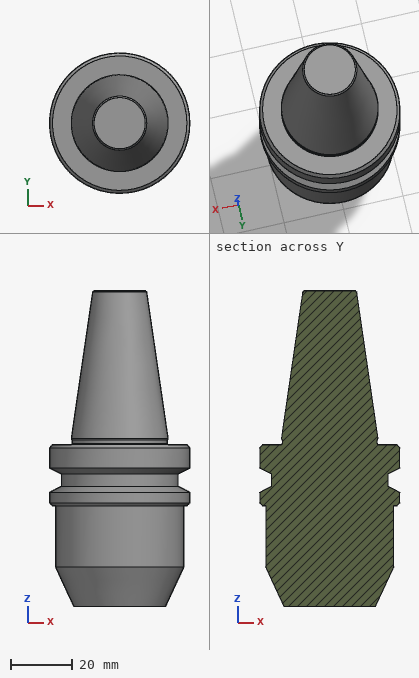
import cadquery as cq
import math


gauge_radius = 31.75 / 2
taper_length = 48.4
taper_ratio = 7 / 24
tip_chamfer_height = 0.4
tip_chamfer_width = 0.5

relief_depth = 0.25
relief_radius = gauge_radius - relief_depth
relief_top_z = -0.5
relief_bottom_z = -1.6

flange_radius = 46 / 2
flange_top_z = -2.0
flange_bottom_z = -22.0
flange_chamfer = 1.0

groove_radius = 38.3 / 2
groove_center_z = -13.6
groove_floor_width = 4.0
groove_flank_angle = 27

body_radius = 42 / 2
nose_cone_top_z = -42.1
nose_end_z = -55.0
nose_end_radius = 30 / 2


def taper_radius(z):
    """Radius of the taper at height z above the gauge plane."""
    return gauge_radius - z * taper_ratio / 2


def shank_points():
    """Outline of the taper and its relief, from the tip down to the flange."""
    chamfer_z = taper_length - tip_chamfer_height
    chamfer_radius = taper_radius(chamfer_z)
    return [
        (chamfer_radius - tip_chamfer_width, taper_length),
        (chamfer_radius, chamfer_z),
        (gauge_radius, 0),
        (relief_radius, relief_top_z),
        (relief_radius, relief_bottom_z),
        (gauge_radius, flange_top_z),
    ]


def flange_points():
    """Outline of the chamfered flange with its V groove, from top to bottom."""
    flank_height = (flange_radius - groove_radius) * math.tan(math.radians(groove_flank_angle))
    floor_half = groove_floor_width / 2
    mouth_half = floor_half + flank_height
    return [
        (flange_radius - flange_chamfer, flange_top_z),
        (flange_radius, flange_top_z - flange_chamfer),
        (flange_radius, groove_center_z + mouth_half),
        (groove_radius, groove_center_z + floor_half),
        (groove_radius, groove_center_z - floor_half),
        (flange_radius, groove_center_z - mouth_half),
        (flange_radius, flange_bottom_z + flange_chamfer),
        (flange_radius - flange_chamfer, flange_bottom_z),
    ]


def nose_points():
    """Outline of the cylindrical body and the cone at its lower end."""
    return [
        (body_radius, flange_bottom_z),
        (body_radius, nose_cone_top_z),
        (nose_end_radius, nose_end_z),
    ]


axis_top = (0, taper_length)
axis_bottom = (0, nose_end_z)
outline = [axis_top] + shank_points() + flange_points() + nose_points() + [axis_bottom]

result = cq.Workplane("XZ").polyline(outline).close().revolve(360, axis_bottom, axis_top)